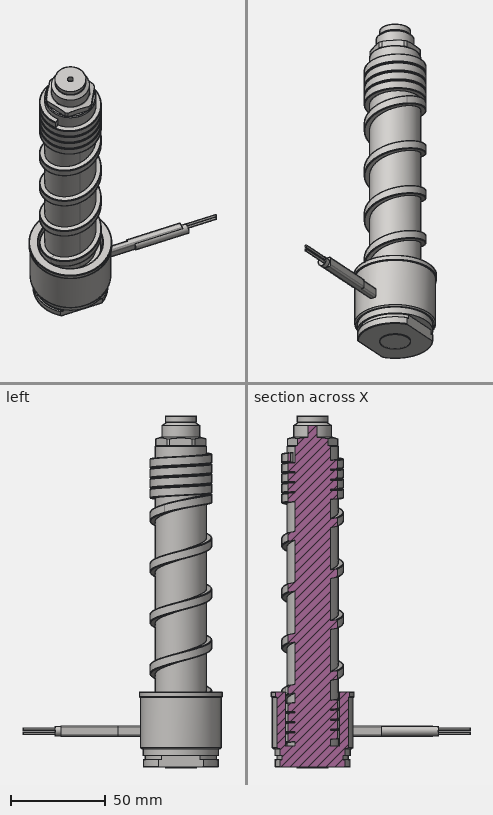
import cadquery as cq
import math

HEIGHT = 186.3
FLANGE_RADIUS = 22.0
FLANGE_CHAMFER = 0.4
BODY_RADIUS = 21.5
BODY_CHAMFER = 0.7
STEP_RADIUS = 20.0
WRENCH_CHAMFER = 0.4
GROOVE_RADIUS = 19.0
FOOT_RADIUS = 8.2
FOOT_HEIGHT = 0.5
GROOVE_BOTTOM = 4.5
STEP_BOTTOM = 6.7
BODY_BOTTOM = 10.2
FLANGE_BOTTOM = 37.5
FLANGE_TOP = 40.5
ACROSS_FLATS = 32.0

SHAFT_RADIUS = 13.6
SHAFT_TOP = 170.8
SHAFT_CHAMFER = 0.5
HEX_ACROSS_FLATS = 24.0
HEX_CORNER_RADIUS = 13.5
HEX_CHAMFER_WIDTH = 3.0
HEX_CHAMFER_HEIGHT = 1.0
HEX_TOP = 175.1
COLLAR_RADIUS = 10.0
CONE_BOTTOM = 181.3
CONE_TOP = 182.8
TIP_RADIUS = 8.2
NECK_RADIUS = 7.8
NECK_TOP = 183.1
TIP_HOLE_RADIUS = 1.5
TIP_HOLE_DEPTH = 3.7

SPRING_OUTER_RADIUS = 16.4
STRIP_OVERLAP = 0.5
SPRING_INNER_RADIUS = SHAFT_RADIUS - STRIP_OVERLAP
STRIP_HEIGHT = 4.8
STRIP_CHAMFER = 0.4
SPRING_TOP = 167.0
SPRING_TOP_ANGLE = -50.0
CLOSED_TURNS = 4.13
RAMP_TURNS = 0.32
OPEN_TURNS = 3.58
CLOSED_RISE = 22.0
OPEN_RISE = 96.5
CLOSED_PITCH = CLOSED_RISE / CLOSED_TURNS
OPEN_PITCH = OPEN_RISE / OPEN_TURNS
POINTS_PER_TURN = 24

BORE_RADIUS = 17.1
BORE_CHAMFER = 0.4
SPRING_SINK = 0.5
RAMP_PITCH = (CLOSED_PITCH + OPEN_PITCH) / 2
SPRING_DROP = 2 * (CLOSED_RISE + RAMP_TURNS * RAMP_PITCH) + OPEN_RISE
BORE_FLOOR = SPRING_TOP - SPRING_DROP - STRIP_HEIGHT + SPRING_SINK

CABLE_Z = 19.5
CABLE_WIDTH = 3.7
CABLE_HEIGHT = 5.5
CABLE_ROUND = 1.0
CABLE_X = -0.7
CABLE_START = 19.5
SLEEVE_X = -1.5
SLEEVE_START = 33.2
SLEEVE_END = 63.5
TUBE_RADIUS = 2.6
TUBE_START = 36.3
TUBE_END = 66.5
WIRE_RADIUS = 0.65
WIRE_SPACING = 2.2
WIRE_END = 83.5


def disc(radius, bottom, top):
    return cq.Workplane("XY").workplane(offset=bottom).circle(radius).extrude(top - bottom)


def housing():
    flange = disc(FLANGE_RADIUS, FLANGE_BOTTOM, FLANGE_TOP).edges().chamfer(FLANGE_CHAMFER)
    body = disc(BODY_RADIUS, BODY_BOTTOM, FLANGE_BOTTOM)
    body = body.faces("<Z").edges().chamfer(BODY_CHAMFER)
    wrench_end = disc(STEP_RADIUS, FOOT_HEIGHT, GROOVE_BOTTOM).faces("<Z").edges().chamfer(WRENCH_CHAMFER)
    wrench_end = wrench_end.union(disc(GROOVE_RADIUS, GROOVE_BOTTOM, STEP_BOTTOM))
    flats = cq.Workplane("XY").box(ACROSS_FLATS, 2 * STEP_RADIUS, STEP_BOTTOM, centered=(True, True, False))
    base = body.union(flange).union(disc(STEP_RADIUS, STEP_BOTTOM, BODY_BOTTOM))
    base = base.union(wrench_end.intersect(flats)).union(disc(FOOT_RADIUS, 0, FOOT_HEIGHT))
    base = base.cut(disc(BORE_RADIUS, BORE_FLOOR, FLANGE_TOP))
    bore_rim = cq.selectors.RadiusNthSelector(0)
    return base.faces(">Z").edges(bore_rim).chamfer(BORE_CHAMFER)


def shaft():
    rod = disc(SHAFT_RADIUS, BORE_FLOOR, SHAFT_TOP).faces(">Z").edges().chamfer(SHAFT_CHAMFER)
    hex_across_corners = HEX_ACROSS_FLATS / math.cos(math.pi / 6)
    nut_blank = (
        disc(HEX_CORNER_RADIUS, SHAFT_TOP, HEX_TOP)
        .faces(">Z")
        .edges()
        .chamfer(HEX_CHAMFER_HEIGHT, HEX_CHAMFER_WIDTH)
    )
    nut = (
        cq.Workplane("XY")
        .workplane(offset=SHAFT_TOP)
        .transformed(rotate=(0, 0, 90))
        .polygon(6, hex_across_corners)
        .extrude(HEX_TOP - SHAFT_TOP)
        .intersect(nut_blank)
    )
    tip = (
        cq.Workplane("XZ")
        .moveTo(0, HEX_TOP)
        .lineTo(COLLAR_RADIUS, HEX_TOP)
        .lineTo(COLLAR_RADIUS, CONE_BOTTOM)
        .lineTo(NECK_RADIUS, CONE_TOP)
        .lineTo(NECK_RADIUS, NECK_TOP)
        .lineTo(TIP_RADIUS, NECK_TOP)
        .lineTo(TIP_RADIUS, HEIGHT)
        .lineTo(0, HEIGHT)
        .close()
        .revolve(360, (0, 0, 0), (0, 1, 0))
    )
    return rod.union(nut).union(tip).cut(disc(TIP_HOLE_RADIUS, HEIGHT - TIP_HOLE_DEPTH, HEIGHT))


def helix_band(turns, start_pitch, end_pitch, top_turn, top_z):
    """Band of spring wire descending from its top; the pitch changes evenly along it."""

    def corner_edge(radius, drop):
        steps = math.ceil(turns * POINTS_PER_TURN)
        points = []
        for step in range(steps + 1):
            run = turns * step / steps
            fall = start_pitch * run + (end_pitch - start_pitch) * run**2 / (2 * turns)
            angle = math.radians(SPRING_TOP_ANGLE) - 2 * math.pi * (top_turn + run)
            points.append(cq.Vector(radius * math.cos(angle), radius * math.sin(angle), top_z - fall - drop))
        return cq.Edge.makeSpline(points)

    corners = [
        corner_edge(SPRING_INNER_RADIUS, 0),
        corner_edge(SPRING_OUTER_RADIUS - STRIP_CHAMFER, 0),
        corner_edge(SPRING_OUTER_RADIUS, STRIP_CHAMFER),
        corner_edge(SPRING_OUTER_RADIUS, STRIP_HEIGHT - STRIP_CHAMFER),
        corner_edge(SPRING_OUTER_RADIUS - STRIP_CHAMFER, STRIP_HEIGHT),
        corner_edge(SPRING_INNER_RADIUS, STRIP_HEIGHT),
    ]
    faces = [cq.Face.makeRuledSurface(corners[i - 1], corners[i]) for i in range(len(corners))]
    for end in (0, 1):
        outline = [corner.positionAt(end) for corner in corners]
        faces.append(cq.Face.makeFromWires(cq.Wire.makePolygon(outline, close=True)))
    return cq.Workplane(cq.Solid.makeSolid(cq.Shell.makeShell(faces)))


def add_spring(target):
    bands = [
        (CLOSED_TURNS, CLOSED_PITCH, CLOSED_PITCH),
        (RAMP_TURNS, CLOSED_PITCH, OPEN_PITCH),
        (OPEN_TURNS, OPEN_PITCH, OPEN_PITCH),
        (RAMP_TURNS, OPEN_PITCH, CLOSED_PITCH),
        (CLOSED_TURNS, CLOSED_PITCH, CLOSED_PITCH),
    ]
    turn = 0
    z = SPRING_TOP
    for turns, start_pitch, end_pitch in bands:
        target = target.union(helix_band(turns, start_pitch, end_pitch, turn, z))
        turn += turns
        z -= turns * (start_pitch + end_pitch) / 2
    return target


def along_y(x, z, start):
    """Sketch plane across the cable; extruding by a negative length runs towards +Y."""
    return cq.Workplane("XZ", origin=(x, start, z))


def cable():
    def rounded_bar(x, start, end):
        bar = along_y(x, CABLE_Z, start).rect(CABLE_WIDTH, CABLE_HEIGHT).extrude(start - end)
        return bar.edges("|Y").fillet(CABLE_ROUND)

    lead = rounded_bar(CABLE_X, CABLE_START, SLEEVE_END)
    lead = lead.union(rounded_bar(SLEEVE_X, SLEEVE_START, SLEEVE_END))
    tube = along_y(0, CABLE_Z, TUBE_START).circle(TUBE_RADIUS).extrude(TUBE_START - TUBE_END)
    lead = lead.union(tube)
    for side in (-1, 1):
        wire_z = CABLE_Z + side * WIRE_SPACING / 2
        wire = along_y(SLEEVE_X, wire_z, SLEEVE_END).circle(WIRE_RADIUS).extrude(SLEEVE_END - WIRE_END)
        lead = lead.union(wire)
    return lead


result = housing().union(cable()).union(shaft())
result = add_spring(result)